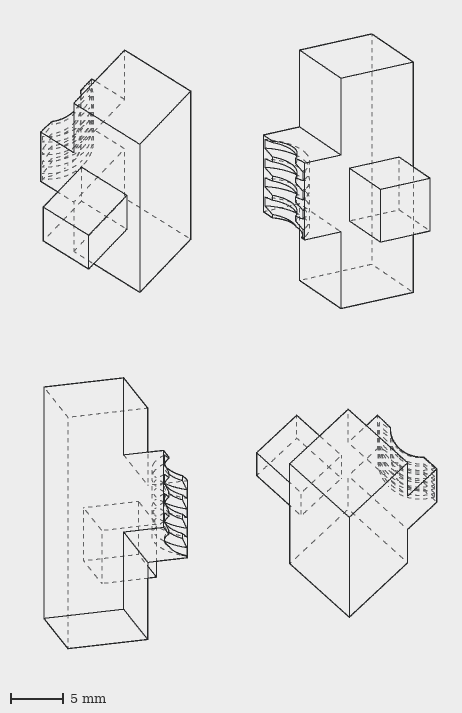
import cadquery as cq

bar_height = 24.0
bar_side = bar_height / 3

block_depth = bar_side / 2
block_height = bar_side

peg_side = 5.5
peg_length = bar_side * 3 / 4
peg_inset = 0.94

axis_offset = block_depth / 2
minor_radius = 3.0
major_radius = 4.2
pitch = bar_side / 4
groove_root_width = 0.9
groove_mouth_width = 1.5
groove_height = 0.85
lowest_groove = -2
highest_groove = 2
mouth_overlap = 0.12

block_face_x = -bar_side / 2 - block_depth
thread_axis_x = block_face_x - axis_offset


def make_bar():
    return cq.Workplane("XY").box(bar_side, bar_side, bar_height)


def make_block():
    block = cq.Workplane("XY").box(block_depth, bar_side, block_height)
    return block.translate((block_face_x + block_depth / 2, 0, 0))


def make_peg():
    corner = (
        -bar_side / 2 + peg_inset,
        -bar_side / 2 - peg_length,
        -block_height / 2 + peg_inset,
    )
    peg = cq.Workplane("XY").box(peg_side, peg_length, peg_side, centered=False)
    return peg.translate(corner)


def make_bore_cutter():
    bore = cq.Workplane("XY").circle(minor_radius).extrude(block_height, both=True)
    return bore.translate((thread_axis_x, 0, 0))


def make_groove_cutter(height):
    flank_slope = (groove_mouth_width - groove_root_width) / (major_radius - minor_radius)
    inner_radius = minor_radius - mouth_overlap
    inner_half = (groove_mouth_width + flank_slope * mouth_overlap) / 2
    root_half = groove_root_width / 2
    helix = cq.Wire.makeHelix(pitch, pitch, minor_radius)
    profile = cq.Workplane("XZ").polyline([
        (inner_radius, -inner_half),
        (major_radius, -root_half),
        (major_radius, root_half),
        (inner_radius, inner_half),
    ]).close()
    groove = profile.sweep(cq.Workplane(helix), isFrenet=True)
    groove = groove.rotate((0, 0, 0), (0, 0, 1), 180)
    return groove.translate((thread_axis_x, 0, height - pitch / 2))


threaded_block = make_block().cut(make_bore_cutter())
for groove_number in range(lowest_groove, highest_groove + 1):
    height = groove_height + groove_number * pitch
    threaded_block = threaded_block.cut(make_groove_cutter(height))

result = make_bar().union(threaded_block).union(make_peg())